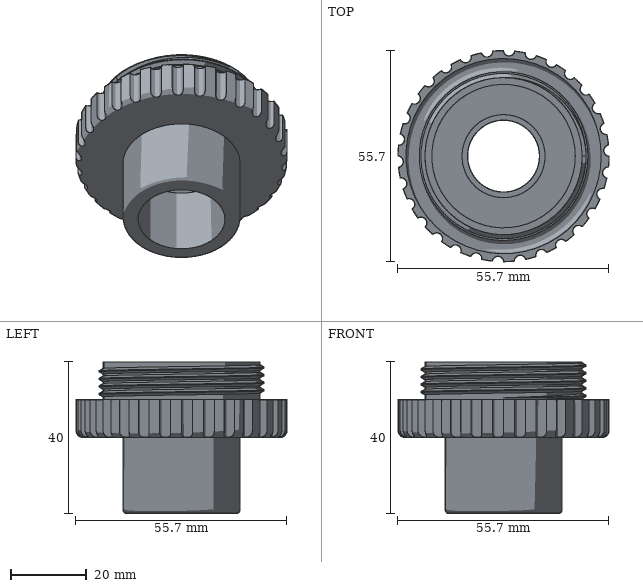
import cadquery as cq
import math

FULL_TURN = 360.0

SPIGOT_HEIGHT = 20.0
FLANGE_HEIGHT = 10.0
COLLAR_HEIGHT = 10.0
FLANGE_TOP = SPIGOT_HEIGHT + FLANGE_HEIGHT
TOTAL_HEIGHT = FLANGE_TOP + COLLAR_HEIGHT

THREAD_MAJOR_DIAMETER = 43.6
THREAD_PITCH = 2.0
THREAD_TURNS = 4
THREAD_FADE_ANGLE = 90.0
SHARP_THREAD_HEIGHT = THREAD_PITCH * math.sqrt(3) / 2
THREAD_CREST_RADIUS = THREAD_MAJOR_DIAMETER / 2
THREAD_ROOT_RADIUS = THREAD_CREST_RADIUS - 5 / 8 * SHARP_THREAD_HEIGHT
CREST_HALF_WIDTH = THREAD_PITCH / 16
ROOT_HALF_WIDTH = 3 * THREAD_PITCH / 8
EDGE_CURVE_STEPS = 200
THREAD_START_Z = FLANGE_TOP + THREAD_PITCH / 2

SPIGOT_RADIUS = 30.9 / 2
SPIGOT_EDGE_FILLET = 1.0
SPIGOT_BORE_RADIUS = 22.9 / 2

CUP_RADIUS = 37.84 / 2
CUP_FLOOR_Z = 24.0
SEAT_RADIUS = 21.9 / 2
SEAT_DEPTH = 2.0
SEAT_Z = CUP_FLOOR_Z - SEAT_DEPTH
THROAT_RADIUS = 18.9 / 2
CONE_BOTTOM_Z = SEAT_Z - (SPIGOT_BORE_RADIUS - THROAT_RADIUS)

FLANGE_RADIUS = 55.73 / 2
FLANGE_EDGE_FILLET = 2.0
FLUTE_COUNT = 30
FLUTE_RADIUS = 1.5
FLUTE_CENTRE_RADIUS = 28.0
FLUTE_PITCH_ANGLE = FULL_TURN / FLUTE_COUNT
FLUTE_START_ANGLE = FLUTE_PITCH_ANGLE / 4

GROOVE_CENTRE_RADIUS = 24.0
GROOVE_WIDTH = 3.5
GROOVE_DEPTH = 1.4


def ring_groove():
    """Ring of circular-segment section that cuts the groove around the collar."""
    inner_edge = (GROOVE_CENTRE_RADIUS - GROOVE_WIDTH / 2, FLANGE_TOP)
    lowest_point = (GROOVE_CENTRE_RADIUS, FLANGE_TOP - GROOVE_DEPTH)
    outer_edge = (GROOVE_CENTRE_RADIUS + GROOVE_WIDTH / 2, FLANGE_TOP)
    return (
        cq.Workplane("XZ")
        .moveTo(*inner_edge)
        .threePointArc(lowest_point, outer_edge)
        .close()
        .revolve(FULL_TURN, (0, 0), (0, 1))
    )


def flange():
    """Grip flange with a rounded lower edge, fluted rim and ring groove."""
    disc = (
        cq.Workplane("XY")
        .workplane(offset=SPIGOT_HEIGHT)
        .circle(FLANGE_RADIUS)
        .extrude(FLANGE_HEIGHT)
        .faces("<Z")
        .edges()
        .fillet(FLANGE_EDGE_FILLET)
    )
    flutes = (
        cq.Workplane("XY")
        .workplane(offset=SPIGOT_HEIGHT)
        .polarArray(FLUTE_CENTRE_RADIUS, FLUTE_START_ANGLE, FULL_TURN, FLUTE_COUNT)
        .circle(FLUTE_RADIUS)
        .extrude(FLANGE_HEIGHT)
    )
    return disc.cut(flutes).cut(ring_groove())


def bore():
    """Stepped passage from the bottom of the spigot to the top of the collar."""
    return (
        cq.Workplane("XZ")
        .moveTo(0, 0)
        .lineTo(SPIGOT_BORE_RADIUS, 0)
        .lineTo(SPIGOT_BORE_RADIUS, CONE_BOTTOM_Z)
        .lineTo(THROAT_RADIUS, SEAT_Z)
        .lineTo(SEAT_RADIUS, SEAT_Z)
        .lineTo(SEAT_RADIUS, CUP_FLOOR_Z)
        .lineTo(CUP_RADIUS, CUP_FLOOR_Z)
        .lineTo(CUP_RADIUS, TOTAL_HEIGHT)
        .lineTo(0, TOTAL_HEIGHT)
        .close()
        .revolve(FULL_TURN, (0, 0), (0, 1))
    )


def adapter_body():
    """Spigot, grip flange and collar as one bored solid."""
    spigot = (
        cq.Workplane("XY")
        .circle(SPIGOT_RADIUS)
        .extrude(SPIGOT_HEIGHT)
        .faces("<Z")
        .edges()
        .fillet(SPIGOT_EDGE_FILLET)
    )
    collar = (
        cq.Workplane("XY")
        .workplane(offset=FLANGE_TOP)
        .circle(THREAD_ROOT_RADIUS)
        .extrude(COLLAR_HEIGHT)
    )
    return spigot.union(flange()).union(collar).cut(bore())


def thread_edge(start_angle, sweep, profile_scale, at_crest, side):
    """One helical edge of a thread length; side is -1 for the lower flank and 1 for the upper."""
    half_width = CREST_HALF_WIDTH if at_crest else ROOT_HALF_WIDTH
    edge_height = THREAD_CREST_RADIUS - THREAD_ROOT_RADIUS if at_crest else 0.0

    def point(t):
        angle = start_angle + t * sweep
        scale = profile_scale(t)
        radius = THREAD_ROOT_RADIUS + scale * edge_height
        z = THREAD_START_Z + THREAD_PITCH * angle / FULL_TURN + side * scale * half_width
        theta = math.radians(angle)
        return (radius * math.cos(theta), radius * math.sin(theta), z)

    return cq.Workplane("XY").parametricCurve(point, N=EDGE_CURVE_STEPS, makeWire=False).val()


def thread_length(start_angle, sweep, profile_scale):
    """Solid thread of trapezoidal section; an end whose section shrinks to nothing is a point."""
    corners = [(False, -1), (True, -1), (True, 1), (False, 1)]
    edges = [thread_edge(start_angle, sweep, profile_scale, crest, side) for crest, side in corners]
    faces = [cq.Face.makeRuledSurface(edges[i - 1], edges[i]) for i in range(len(edges))]
    for t in (0, 1):
        if profile_scale(t) > 0:
            outline = cq.Wire.makePolygon([edge.positionAt(t) for edge in edges], close=True)
            faces.append(cq.Face.makeFromWires(outline))
    return cq.Solid.makeSolid(cq.Shell.makeShell(faces))


def full_profile(t):
    """The section stays whole along the thread."""
    return 1.0


def fade_in_profile(t):
    """The section grows out of the collar from nothing to full size."""
    return t


def fade_out_profile(t):
    """The section shrinks into the collar from full size to nothing."""
    return 1.0 - t


def thread_turn(index):
    """One whole turn of the thread."""
    return thread_length(index * FULL_TURN, FULL_TURN, full_profile)


body = adapter_body()
thread_turns = [thread_turn(index) for index in range(THREAD_TURNS)]
thread_fade_in = thread_length(-THREAD_FADE_ANGLE, THREAD_FADE_ANGLE, fade_in_profile)
thread_fade_out = thread_length(THREAD_TURNS * FULL_TURN, THREAD_FADE_ANGLE, fade_out_profile)

result = cq.Compound.makeCompound([body.val(), *thread_turns, thread_fade_in, thread_fade_out])